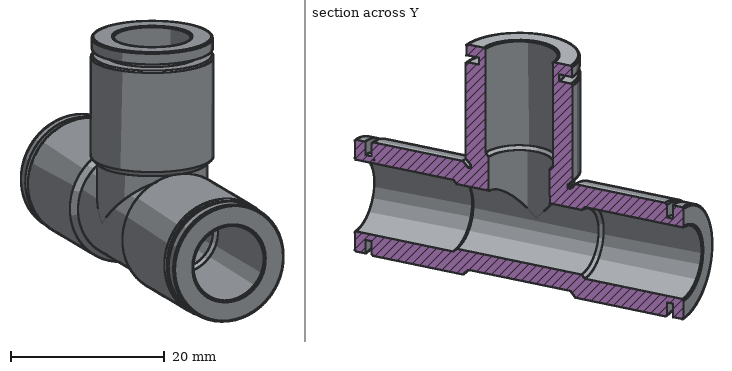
import cadquery as cq

port_reach = 24.5

collar_diameter = 15.8
collar_width = 1.6
collar_chamfer = 0.2
neck_diameter = 12.0

body_diameter = 16.0
body_front = 22.0
body_back = 7.6
body_front_chamfer = 0.25
shoulder_length = 0.8
core_diameter = 14.4

bore_diameter = 9.0
socket_diameter = 10.0
socket_depth = 14.7
socket_chamfer_width = 0.25
socket_chamfer_depth = 0.15

collar_radius = collar_diameter / 2
neck_radius = neck_diameter / 2
body_radius = body_diameter / 2
core_radius = core_diameter / 2
bore_radius = bore_diameter / 2
socket_radius = socket_diameter / 2
collar_back = port_reach - collar_width
socket_end = port_reach - socket_depth
taper_end = socket_end - (socket_radius - bore_radius)


def revolve_about_z(outline):
    """Revolve a list of (radius, height) points into a solid about the Z axis."""
    return cq.Workplane("XZ").polyline(outline).close().revolve(360, (0, 0), (0, 1))


def make_port_shell():
    """Collar, neck and body of one upright port, without its passage."""
    return revolve_about_z([
        (0, body_back),
        (core_radius, body_back),
        (body_radius, body_back + shoulder_length),
        (body_radius, body_front - body_front_chamfer),
        (body_radius - body_front_chamfer, body_front),
        (neck_radius, body_front),
        (neck_radius, collar_back),
        (collar_radius, collar_back),
        (collar_radius, port_reach - collar_chamfer),
        (collar_radius - collar_chamfer, port_reach),
        (0, port_reach),
    ])


def make_passage():
    """Bore, taper and socket of one upright port, starting at the origin."""
    return revolve_about_z([
        (0, 0),
        (bore_radius, 0),
        (bore_radius, taper_end),
        (socket_radius, socket_end),
        (socket_radius, port_reach - socket_chamfer_depth),
        (socket_radius + socket_chamfer_width, port_reach),
        (0, port_reach),
    ])


def turn_to_port(solid, angle):
    """Swing an upright solid about the Y axis to face its port direction."""
    return solid.rotate((0, 0, 0), (0, 1, 0), angle)


run_core = cq.Workplane("YZ").circle(core_radius).extrude(body_back, both=True)
branch_core = cq.Workplane("XY").circle(core_radius).extrude(body_back)
fitting = run_core.union(branch_core)

port_angles = (-90, 0, 90)
for angle in port_angles:
    fitting = fitting.union(turn_to_port(make_port_shell(), angle))
for angle in port_angles:
    fitting = fitting.cut(turn_to_port(make_passage(), angle))

result = fitting